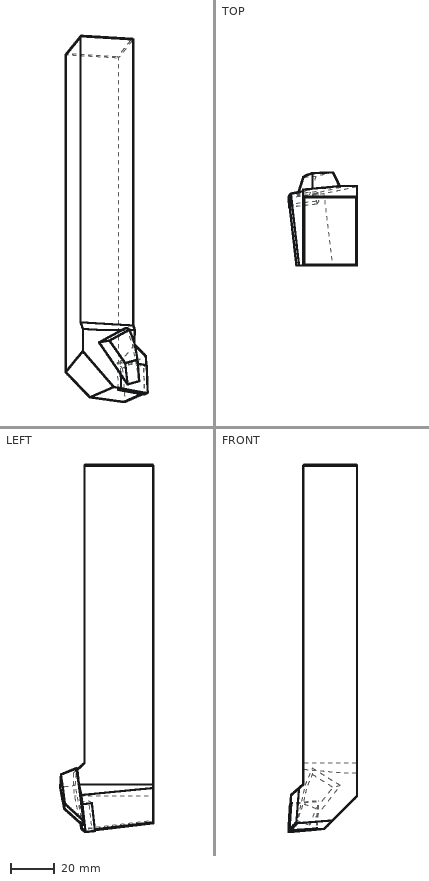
import cadquery as cq
import math

length = 170.0
shank_width = 25.0
shank_depth = 32.0
shank_end_chamfer = 0.5

head_depth = 36.9
shoulder_z = 22.1
shoulder_slope = 0.87
relief_z = 16.8
step_z = 32.0
step_slope = 0.92
corner_x = -3.2
corner_z = 4.0
left_lean = 0.08
left_draft = math.tan(math.radians(6.0))
bottom_lean = 0.08
bottom_draft = math.tan(math.radians(6.3))
corner_bevel = 0.5
margin = 8.5
block_size = 204.0

rake_y = 32.1
rake_slope = math.tan(math.radians(6.0))

tip_x = -7.0
tip_z = -0.05
insert_edge = 13.1
insert_thickness = 4.5
insert_corner_radius = 0.5
left_edge_shift = 0.1
bottom_edge_rise = 0.15

overall_depth = 43.2
clamp_base = [(4.2, 29.5), (1.0, 22.1), (-2.7, 5.3), (2.9, 3.2), (17.2, 21.6)]
clamp_top = [(4.2, 26.7), (1.7, 20.7), (0.0, 13.1), (6.0, 10.9), (13.8, 20.7)]


def on_rake(x, z, height=0.0):
    """Point at the given X and Z, raised along Y from the rake plane."""
    return cq.Vector(x, rake_y + rake_slope * (x + z) + height, z)


def outside(point, normal):
    """Block filling the space on the normal's side of a plane."""
    plane = cq.Plane(origin=point, normal=normal)
    return cq.Workplane(plane).rect(block_size, block_size).extrude(block_size)


def make_shank():
    height = length - step_z
    shank = cq.Workplane("XY", origin=(0, 0, step_z)).rect(shank_width, shank_depth, centered=False)
    return shank.extrude(height).faces(">Z").chamfer(shank_end_chamfer)


def make_head():
    left = corner_x - margin
    bottom = corner_z - margin
    head = (
        cq.Workplane("XZ")
        .moveTo(0, step_z)
        .lineTo(0, shoulder_z)
        .lineTo(left, shoulder_z + left * shoulder_slope)
        .lineTo(left, bottom)
        .lineTo(shank_width - (relief_z - bottom), bottom)
        .lineTo(shank_width, relief_z)
        .lineTo(shank_width, step_z)
        .close()
        .extrude(-head_depth)
    )
    left_normal = (-1, -left_draft, left_lean)
    bottom_normal = (bottom_lean, -bottom_draft, -1)
    corner = cq.Vector(corner_x, 0, corner_z)
    head = head.cut(outside(corner, left_normal))
    head = head.cut(outside(corner, bottom_normal))
    bevel_normal = cq.Vector(*left_normal) + cq.Vector(*bottom_normal)
    bevel_point = corner + cq.Vector(corner_bevel, 0, 0)
    head = head.cut(outside(bevel_point, bevel_normal))
    head = head.cut(outside(on_rake(0, 0), (-rake_slope, 1, -rake_slope)))
    return head.cut(outside((0, shank_depth, step_z), (0, step_slope, 1)))


def make_clamp():
    clamp_height = overall_depth - max(on_rake(x, z).y for x, z in clamp_top)
    outlines = [
        cq.Wire.makePolygon([on_rake(x, z, height) for x, z in outline], close=True)
        for outline, height in [(clamp_base, 0), (clamp_top, clamp_height)]
    ]
    return cq.Workplane(cq.Solid.makeLoft(outlines, True))


def make_insert():
    up = on_rake(left_edge_shift, 1.7) - on_rake(0, 0)
    across = on_rake(1.7, bottom_edge_rise) - on_rake(0, 0)
    tip = on_rake(tip_x, tip_z)
    up_edge = up.normalized() * insert_edge
    across_edge = across.normalized() * insert_edge
    corners = [tip, tip + up_edge, tip + up_edge + across_edge, tip + across_edge]
    face = cq.Face.makeFromWires(cq.Wire.makePolygon(corners, close=True))
    into_head = up.cross(across).normalized() * -insert_thickness
    blank = cq.Workplane(cq.Solid.extrudeLinear(face, into_head))
    return blank.edges(cq.selectors.ParallelDirSelector(into_head)).fillet(insert_corner_radius)


insert = make_insert()
holder = make_shank().union(make_head()).union(make_clamp()).cut(insert)

result = cq.Compound.makeCompound([holder.val(), insert.val()])